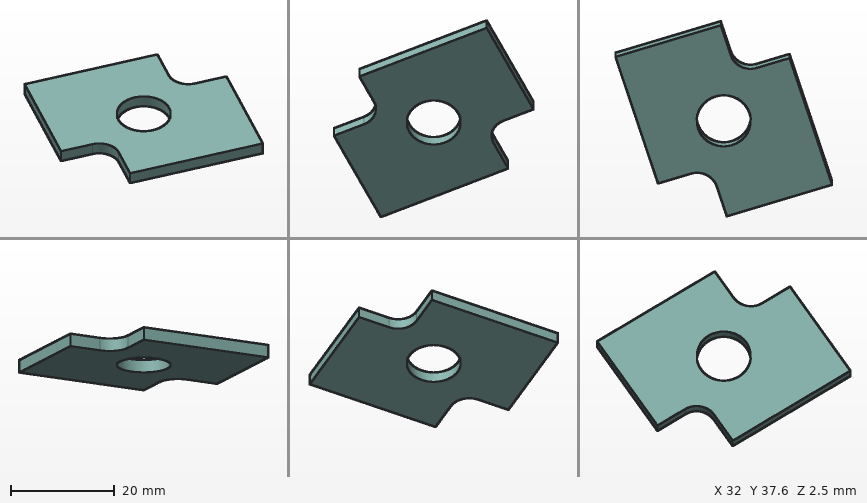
import cadquery as cq

width = 32.0
length = 37.6
thickness = 2.5

hole_diameter = 10.4

notch_width = 10.65
notch_length = 10.4
notch_radius = 4.0


def corner_notch(side):
    """Cutter for the corner at X = side * width / 2, Y = -side * length / 2."""
    return (
        cq.Workplane("XY")
        .center(side * width / 2, -side * length / 2)
        .rect(2 * notch_width, 2 * notch_length)
        .extrude(thickness)
        .edges("|Z")
        .fillet(notch_radius)
    )


plate = cq.Workplane("XY").rect(width, length).extrude(thickness)
plate = plate.faces(">Z").workplane().hole(hole_diameter)

for side in (-1, 1):
    plate = plate.cut(corner_notch(side))

result = plate